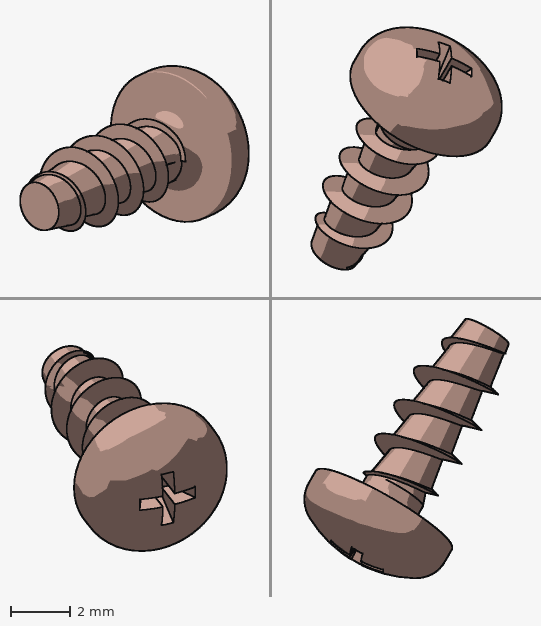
import cadquery as cq
import math


overall_length = 8.98

head_radius = 2.65
head_height = 2.0
rim_height = 0.54
shoulder_radius = 1.03
rim_edge_fillet = 0.05

recess_width = 0.43
recess_reach = 1.08
recess_depth = 1.17
recess_wall_angle = 26.0

neck_radius = 1.08
neck_length = 0.73
neck_fillet = 0.485
neck_cone_length = 0.65

tip_radius = 0.84
tip_rim_width = 0.045
tip_dish_depth = 0.04
tip_cone_slope = 0.15

pitch = 1.34
crest_radius = 1.5
core_min_radius = 0.86
ridge_radius = 1.05
ridge_sink = 0.003
min_ridge_gap = 0.02
upper_flank_angle = 16.5
lower_flank_angle = 15.0
crest_z = 0.72
buried_radius = 0.63
turns_per_face = 0.5
points_per_face = 10

thread_low_turn = -6.0
thread_high_turn = -1.0
thread_tip_clearance = 0.07
run_in_end_z = -2.02
run_in_slope = 0.21
run_out_start_z = -5.0
run_out_slope = 0.35

shoulder_x = head_radius - shoulder_radius
crown_rise = head_height - rim_height
crown_radius = (shoulder_x**2 + crown_rise**2 - shoulder_radius**2) / (2 * (crown_rise - shoulder_radius))
crown_center_z = head_height - crown_radius

recess_corner_radius = recess_width / 2 * math.sqrt(2)
head_top_z = crown_center_z + math.sqrt(crown_radius**2 - recess_corner_radius**2)
tip_z = head_top_z - overall_length

upper_flank_run = math.tan(math.radians(upper_flank_angle))
lower_flank_run = math.tan(math.radians(lower_flank_angle))


def helical_edge(position, start_turn, end_turn):
    """Curve around Z; position(turn) gives the radius and height at that turn."""
    points = []
    for step in range(points_per_face + 1):
        turn = start_turn + (end_turn - start_turn) * step / points_per_face
        radius, height = position(turn)
        angle = 2 * math.pi * turn
        points.append(cq.Vector(radius * math.cos(angle), radius * math.sin(angle), height))
    return cq.Edge.makeSpline(points)


def helical_solid(corners, start_turn, end_turn):
    """Solid swept around Z by a section whose corners each follow a helical curve."""
    count = round((end_turn - start_turn) / turns_per_face)
    turns = [start_turn + turns_per_face * i for i in range(count + 1)]
    rows = []
    for turn, next_turn in zip(turns, turns[1:]):
        rows.append([helical_edge(corner, turn, next_turn) for corner in corners])
    faces = []
    for edges in rows:
        faces += [cq.Face.makeRuledSurface(edge, edges[i - 1]) for i, edge in enumerate(edges)]
    for edges, end in ((rows[0], 0), (rows[-1], 1)):
        outline = cq.Wire.makePolygon([edge.positionAt(end) for edge in edges], close=True)
        faces.append(cq.Face.makeFromWires(outline))
    solid = cq.Solid.makeSolid(cq.Shell.makeShell(faces))
    return cq.Workplane(solid.fix())


def crest_height(turn):
    return crest_z + pitch * turn


def crest_radius_at(height):
    run_in_loss = max(0, height - run_in_end_z) * run_in_slope
    run_out_loss = max(0, run_out_start_z - height) * run_out_slope
    return crest_radius - run_in_loss - run_out_loss


def make_head():
    join_angle = math.atan2(rim_height - crown_center_z, shoulder_x)

    def on_crown(angle):
        return crown_radius * math.cos(angle), crown_center_z + crown_radius * math.sin(angle)

    def on_shoulder(angle):
        return shoulder_x + shoulder_radius * math.cos(angle), rim_height + shoulder_radius * math.sin(angle)

    profile = (
        cq.Workplane("XZ")
        .lineTo(head_radius, 0)
        .lineTo(head_radius, rim_height)
        .threePointArc(on_shoulder(join_angle / 2), on_crown(join_angle))
        .threePointArc(on_crown((join_angle + math.pi / 2) / 2), (0, head_height))
        .close()
    )
    return profile.revolve(360, (0, 0, 0), (0, 1, 0)).faces("<Z").edges().fillet(rim_edge_fillet)


def make_recess():
    floor_reach = recess_reach - recess_depth * math.tan(math.radians(recess_wall_angle))
    floor_z = head_height - recess_depth
    wing = (
        cq.Workplane("XZ")
        .polyline([
            (-floor_reach, floor_z),
            (floor_reach, floor_z),
            (recess_reach, head_height),
            (-recess_reach, head_height),
        ])
        .close()
        .extrude(recess_width / 2, both=True)
    )
    return wing.union(wing.rotate((0, 0, 0), (0, 0, 1), 90))


def make_neck_and_core():
    fillet_center = (neck_radius + neck_fillet, -neck_fillet)
    diagonal = neck_fillet * math.sqrt(0.5)
    profile = (
        cq.Workplane("XZ")
        .lineTo(neck_radius + neck_fillet, 0)
        .threePointArc(
            (fillet_center[0] - diagonal, fillet_center[1] + diagonal),
            (neck_radius, -neck_fillet),
        )
        .lineTo(neck_radius, -neck_length)
        .lineTo(core_min_radius, -neck_length - neck_cone_length)
        .lineTo(core_min_radius, tip_z)
        .lineTo(0, tip_z)
        .close()
    )
    return profile.revolve(360, (0, 0, 0), (0, 1, 0))


def make_core_ridge():
    """Sawtooth on the core: widest under each crest, sinking into the core before the next thread."""
    def low_end(turn):
        next_crest_height = crest_height(turn - 1)
        next_thread_depth = crest_radius_at(next_crest_height) - core_min_radius
        return next_crest_height + max(next_thread_depth * upper_flank_run, min_ridge_gap)

    corners = [
        lambda turn: (buried_radius, crest_height(turn)),
        lambda turn: (ridge_radius, crest_height(turn)),
        lambda turn: (core_min_radius - ridge_sink, low_end(turn)),
        lambda turn: (buried_radius, low_end(turn)),
    ]
    return helical_solid(corners, thread_low_turn, thread_high_turn)


def make_thread():
    def level_height(turn):
        return min(crest_height(turn), -neck_length)

    def buried_corner(flank_run):
        def position(turn):
            height = level_height(turn)
            return buried_radius, height + (crest_radius_at(height) - buried_radius) * flank_run
        return position

    def crest(turn):
        height = level_height(turn)
        return crest_radius_at(height), height

    corners = [buried_corner(upper_flank_run), crest, buried_corner(-lower_flank_run)]
    thread = helical_solid(corners, thread_low_turn, thread_high_turn)
    shaft_length = -tip_z - thread_tip_clearance
    shaft_space = cq.Workplane().circle(head_radius).extrude(-shaft_length)
    return thread.intersect(shaft_space, clean=False)


def make_tip_envelope():
    """Cone that the core has to stay inside, with a shallow round dish in its end face."""
    top_radius = tip_radius - tip_cone_slope * tip_z
    dish_radius = tip_radius - tip_rim_width
    dish_curvature_radius = (dish_radius**2 + tip_dish_depth**2) / (2 * tip_dish_depth)
    half_angle = math.asin(dish_radius / dish_curvature_radius) / 2
    dish_top_z = tip_z + tip_dish_depth
    dish_middle = (
        dish_curvature_radius * math.sin(half_angle),
        dish_top_z - dish_curvature_radius * (1 - math.cos(half_angle)),
    )
    profile = (
        cq.Workplane("XZ")
        .lineTo(top_radius, 0)
        .lineTo(tip_radius, tip_z)
        .lineTo(dish_radius, tip_z)
        .threePointArc(dish_middle, (0, dish_top_z))
        .close()
    )
    return profile.revolve(360, (0, 0, 0), (0, 1, 0))


core = make_neck_and_core().union(make_core_ridge(), clean=False).intersect(make_tip_envelope(), clean=False)
screw = core.union(make_thread(), clean=False).union(make_head()).cut(make_recess())
result = screw.rotate((0, 0, 0), (1, 0, 0), -90)